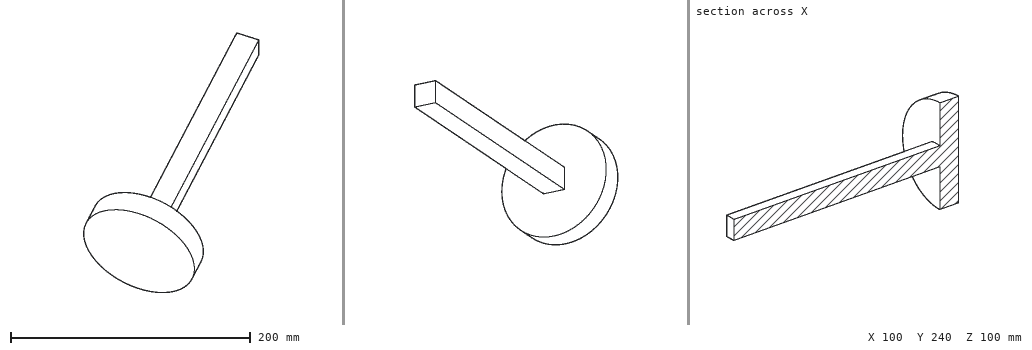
import cadquery as cq

disc_diameter = 100.0
disc_thickness = 20.0
overall_length = 240.0
bar_width = 20.0

bar_length = overall_length - disc_thickness


def make_disc():
    """Round head with its axis along Y, from Y = 0 to the disc thickness."""
    return (
        cq.Workplane("XZ")
        .circle(disc_diameter / 2)
        .extrude(-disc_thickness)
    )


def make_bar():
    """Square bar centred on the disc axis, running from the disc's back face in +Y."""
    return (
        cq.Workplane("XZ", origin=(0, disc_thickness, 0))
        .rect(bar_width, bar_width)
        .extrude(-bar_length)
    )


result = make_disc().union(make_bar())